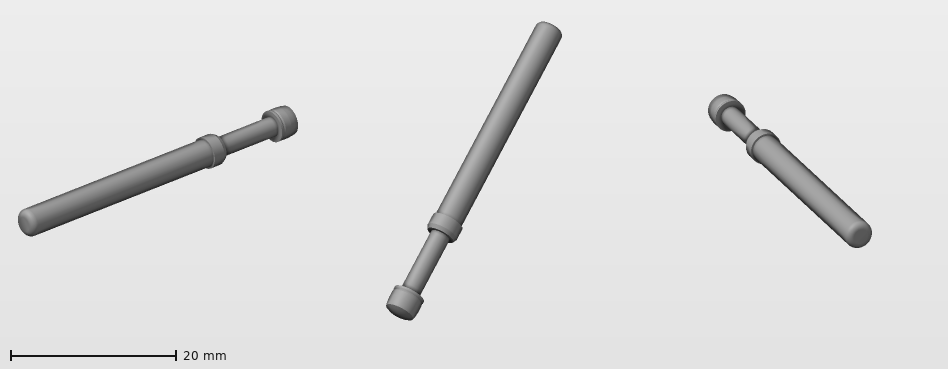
import cadquery as cq
import math

total_length = 41.5

barrel_radius = 1.75
barrel_end_fillet = 0.8
collar_radius = 2.0
collar_length = 2.0
collar_top = 29.95
collar_bevel_length = 0.5
collar_bevel_depth = 0.25

stem_radius = 1.25

head_radius = 2.0
head_length = 3.1
head_band_length = 1.5
head_arc_radius = 4.0
rim_rise = 1.1

groove_start = 0.25
groove_width = 0.37
groove_depth = 0.1

head_bottom = total_length - head_length


def revolve_about_y(profile):
    """Spin a closed half profile, drawn as (radius, y), around the Y axis."""
    return profile.close().revolve(360, (0, 0, 0), (0, 1, 0))


def cylinder(radius, bottom, top):
    profile = (
        cq.Workplane("XY")
        .moveTo(0, bottom)
        .lineTo(radius, bottom)
        .lineTo(radius, top)
        .lineTo(0, top)
    )
    return revolve_about_y(profile)


def make_barrel():
    barrel = cylinder(barrel_radius, 0, collar_top)
    return barrel.faces("<Y").edges().fillet(barrel_end_fillet)


def make_collar():
    """Ring at the mouth of the barrel, bevelled towards the stem."""
    profile = (
        cq.Workplane("XY")
        .moveTo(0, collar_top - collar_length)
        .lineTo(collar_radius, collar_top - collar_length)
        .lineTo(collar_radius, collar_top - collar_bevel_length)
        .lineTo(collar_radius - collar_bevel_depth, collar_top)
        .lineTo(0, collar_top)
    )
    return revolve_about_y(profile)


def make_head():
    """Grooved band whose side curves gently inwards to a rim under a shallow dome."""
    band_top = head_bottom + head_band_length
    rim_y = band_top + rim_rise

    side_center_radius = head_radius - head_arc_radius
    rim_angle = math.asin(rim_rise / head_arc_radius)
    rim_radius = side_center_radius + head_arc_radius * math.cos(rim_angle)
    side_mid = (
        side_center_radius + head_arc_radius * math.cos(rim_angle / 2),
        band_top + head_arc_radius * math.sin(rim_angle / 2),
    )

    dome_height = total_length - rim_y
    dome_radius = (rim_radius**2 + dome_height**2) / (2 * dome_height)
    dome_half_angle = math.asin(rim_radius / dome_radius) / 2
    dome_mid = (
        dome_radius * math.sin(dome_half_angle),
        total_length - dome_radius * (1 - math.cos(dome_half_angle)),
    )

    groove_bottom = head_bottom + groove_start
    profile = (
        cq.Workplane("XY")
        .moveTo(0, head_bottom)
        .lineTo(head_radius, head_bottom)
        .lineTo(head_radius, groove_bottom)
        .lineTo(head_radius - groove_depth, groove_bottom + groove_width / 2)
        .lineTo(head_radius, groove_bottom + groove_width)
        .lineTo(head_radius, band_top)
        .threePointArc(side_mid, (rim_radius, rim_y))
        .threePointArc(dome_mid, (0, total_length))
    )
    return revolve_about_y(profile)


stem = cylinder(stem_radius, collar_top, head_bottom)
result = make_barrel().union(make_collar()).union(stem).union(make_head())